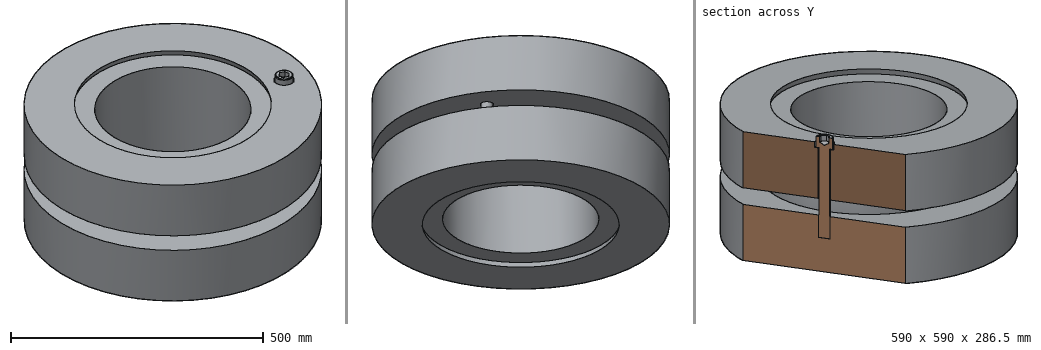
import cadquery as cq
import math

outer_diameter = 590.0
housing_height = 120.0
gap_height = 34.0
upper_base = housing_height + gap_height
stack_height = upper_base + housing_height
mid_height = stack_height / 2

barrel_diameter = 429.5
seat_end_diameter = 390.0
seat_drop = (barrel_diameter - seat_end_diameter) / 2
barrel_arc_radius = (mid_height**2 + seat_drop**2) / (2 * seat_drop)

bore_diameter = 310.0
end_recess = 12.0
inner_half_height = mid_height - end_recess

screw_y = 238.0
head_diameter = 36.0
head_height = 24.0
head_chamfer = 2.0
head_protrusion = 12.5
shank_diameter = 24.0
thread_engagement = 47.0
socket_flats = 19.0
socket_depth = 12.0
socket_cone_height = 5.5

counterbore_diameter = 40.0
clearance_diameter = 26.0
counterbore_depth = head_height - head_protrusion

head_seat = stack_height - counterbore_depth
screw_top = head_seat + head_height
screw_tip = housing_height - thread_engagement


def cylinder(diameter, bottom, top, y=0.0):
    """Vertical cylinder centred at x = 0 and the given y."""
    return cq.Workplane("XY", origin=(0, y, bottom)).circle(diameter / 2).extrude(top - bottom)


def barrel_radius(offset):
    """Barrel radius at a vertical offset from mid height."""
    arc_height = math.sqrt(barrel_arc_radius**2 - offset**2)
    return barrel_diameter / 2 - barrel_arc_radius + arc_height


def barrel(half_height):
    """Solid barrel, symmetric about mid height."""
    end_radius = barrel_radius(half_height)
    return (
        cq.Workplane("XZ")
        .moveTo(0, mid_height - half_height)
        .lineTo(end_radius, mid_height - half_height)
        .threePointArc((barrel_diameter / 2, mid_height), (end_radius, mid_height + half_height))
        .lineTo(0, mid_height + half_height)
        .close()
        .revolve(360, (0, 0, 0), (0, 1, 0))
    )


def make_housing_blank(bottom):
    """Outer ring with its share of the barrel-shaped seat."""
    return cylinder(outer_diameter, bottom, bottom + housing_height).cut(barrel(mid_height))


def make_lower_housing():
    screw_hole = cylinder(shank_diameter, screw_tip, housing_height, screw_y)
    return make_housing_blank(0).cut(screw_hole)


def make_upper_housing():
    clearance_hole = cylinder(clearance_diameter, upper_base, stack_height, screw_y)
    counterbore = cylinder(counterbore_diameter, head_seat, stack_height, screw_y)
    return make_housing_blank(upper_base).cut(clearance_hole).cut(counterbore)


def make_inner_ring():
    return barrel(inner_half_height).cut(cylinder(bore_diameter, 0, stack_height))


def make_socket():
    """Hexagonal socket with flats facing +X and -X, ending in a drill-point cone."""
    socket_floor = screw_top - socket_depth
    hexagon = (
        cq.Workplane("XY", origin=(0, screw_y, socket_floor))
        .polygon(6, socket_flats, circumscribed=True)
        .extrude(socket_depth)
    )
    cone = cq.Workplane(
        cq.Solid.makeCone(
            0, socket_flats / 2, socket_cone_height, cq.Vector(0, screw_y, socket_floor - socket_cone_height)
        )
    )
    return hexagon.union(cone)


def make_screw():
    head = cylinder(head_diameter, head_seat, screw_top, screw_y).faces(">Z").edges().chamfer(head_chamfer)
    shank = cylinder(shank_diameter, screw_tip, head_seat, screw_y)
    return head.union(shank).cut(make_socket())


lower_housing = make_lower_housing()
upper_housing = make_upper_housing()
inner_ring = make_inner_ring()
screw = make_screw()

result = cq.Compound.makeCompound(
    [lower_housing.val(), upper_housing.val(), inner_ring.val(), screw.val()]
)